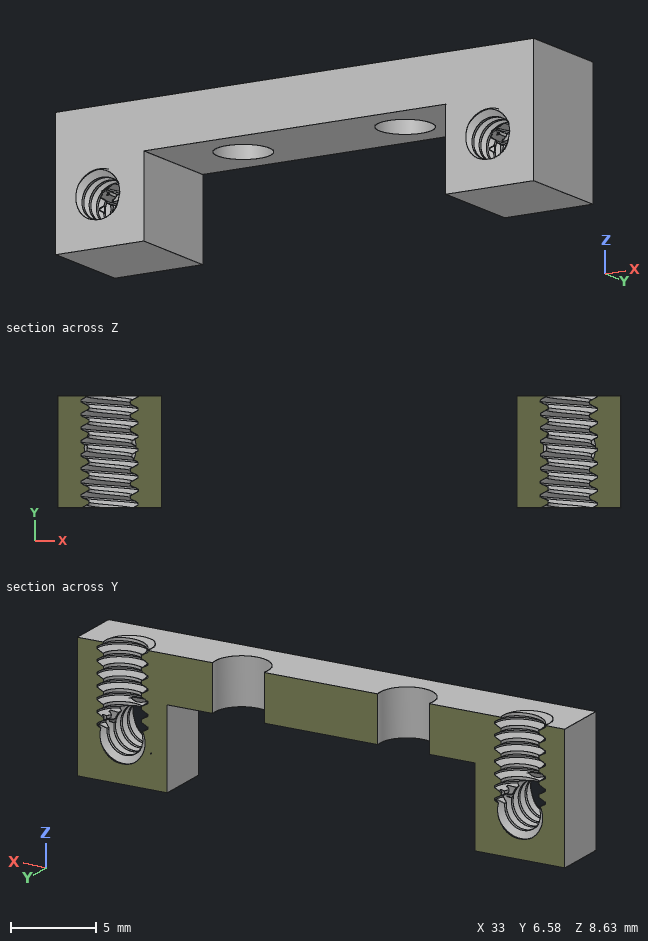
import cadquery as cq
import math

INCH = 25.4

length = 33.02
width = 6.58
height = 8.63
web_thickness = 0.125 * INCH
leg_length = 0.24 * INCH

clearance_diameter = 0.14 * INCH
clearance_spacing = 0.44 * INCH

major_diameter = 0.138 * INCH
threads_per_inch = 32
pitch = INCH / threads_per_inch
flank_half_angle = math.radians(30)
root_flat = pitch / 8
crest_flat = pitch / 4
thread_depth = (pitch - crest_flat - root_flat) / 2 / math.tan(flank_half_angle)
minor_diameter = major_diameter - 2 * thread_depth
core_overlap = 0.05
bore_seam_offset = 125

leg_center_x = (length - leg_length) / 2
cross_hole_z = leg_length / 2
vertical_hole_depth = height - cross_hole_z
cross_thread_start = 125
vertical_thread_start = 205


def make_body():
    """Bar with its underside relieved between the legs, base on Z = 0."""
    bar = cq.Workplane("XY").box(length, width, height, centered=(True, True, False))
    gap = cq.Workplane("XY").box(
        length - 2 * leg_length, width, height - web_thickness, centered=(True, True, False)
    )
    return bar.cut(gap)


def clearance_holes():
    """Pair of plain cylinders through the web."""
    centers = [(-clearance_spacing / 2, 0), (clearance_spacing / 2, 0)]
    return cq.Workplane("XY").pushPoints(centers).circle(clearance_diameter / 2).extrude(height)


def bore_cutter(depth, start_angle):
    """Minor-diameter cylinder from the mouth at Z = 0 down to -depth, seam away from the groove start."""
    bore = cq.Workplane("XY").circle(minor_diameter / 2).extrude(-depth)
    return bore.rotate((0, 0, 0), (0, 0, 1), start_angle - bore_seam_offset)


def groove_cutter(turns_below, start_angle):
    """Right-hand helical groove that crosses the mouth at Z = 0 in the start_angle direction."""
    inner_radius = minor_diameter / 2 - core_overlap
    outer_radius = major_diameter / 2
    bottom = -turns_below * pitch
    root_half = root_flat / 2
    mouth_half = root_half + (outer_radius - inner_radius) * math.tan(flank_half_angle)
    helix = cq.Wire.makeHelix(pitch, (turns_below + 1) * pitch, inner_radius)
    groove = (
        cq.Workplane("XZ")
        .moveTo(inner_radius, -mouth_half)
        .lineTo(outer_radius, -root_half)
        .lineTo(outer_radius, root_half)
        .lineTo(inner_radius, mouth_half)
        .close()
        .sweep(cq.Workplane(obj=helix), isFrenet=True)
    )
    return groove.translate((0, 0, bottom)).rotate((0, 0, 0), (0, 0, 1), start_angle)


def cut_vertical_thread(part, x):
    """Threaded hole from the top face down to the axis of the cross hole."""
    turns = math.floor(vertical_hole_depth / pitch)
    mouth = (x, 0, height)
    part = part.cut(bore_cutter(vertical_hole_depth, vertical_thread_start).translate(mouth))
    return part.cut(groove_cutter(turns, vertical_thread_start).translate(mouth))


def cut_cross_thread(part, x):
    """Threaded hole through the leg along Y, with its mouth on the -Y face."""
    turns = math.ceil(width / pitch) + 1
    bore = bore_cutter(width, cross_thread_start)
    groove = groove_cutter(turns, cross_thread_start)
    for cutter in (bore, groove):
        along_y = cutter.rotate((0, 0, 0), (1, 0, 0), 90)
        part = part.cut(along_y.translate((x, -width / 2, cross_hole_z)))
    return part


result = make_body().cut(clearance_holes())
for leg_x in (-leg_center_x, leg_center_x):
    result = cut_vertical_thread(result, leg_x)
    result = cut_cross_thread(result, leg_x)